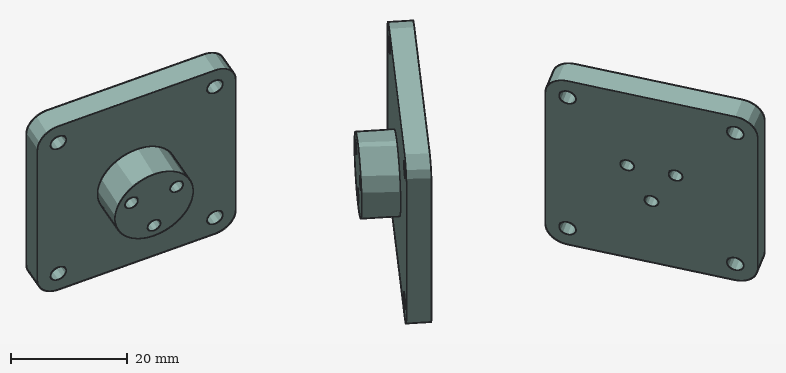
import cadquery as cq

total_depth = 11.0
plate_width = 38.0
plate_height = 40.0
plate_thickness = 4.3
corner_radius = 4.0

boss_diameter = 15.0
boss_length = total_depth - plate_thickness

corner_hole_diameter = 3.0
corner_hole_spacing_y = plate_width - 2 * corner_radius
corner_hole_spacing_z = plate_height - 2 * corner_radius

center_hole_diameter = 2.5
center_hole_count = 3
center_hole_circle_radius = 5.0
first_hole_angle = -90


def make_plate():
    """Rounded plate in the YZ plane, with its back face at X = 0."""
    return (
        cq.Workplane("YZ")
        .rect(plate_width, plate_height)
        .extrude(plate_thickness)
        .edges("|X")
        .fillet(corner_radius)
    )


def make_boss():
    """Cylinder standing on the +X face of the plate."""
    return (
        cq.Workplane("YZ")
        .workplane(offset=plate_thickness)
        .circle(boss_diameter / 2)
        .extrude(boss_length)
    )


def make_corner_holes():
    """Cutters for the four holes through the plate."""
    return (
        cq.Workplane("YZ")
        .rect(corner_hole_spacing_y, corner_hole_spacing_z, forConstruction=True)
        .vertices()
        .circle(corner_hole_diameter / 2)
        .extrude(plate_thickness)
    )


def make_center_holes():
    """Cutters for the three holes through the plate and boss."""
    return (
        cq.Workplane("YZ")
        .polarArray(center_hole_circle_radius, first_hole_angle, 360, center_hole_count)
        .circle(center_hole_diameter / 2)
        .extrude(total_depth)
    )


result = make_plate().union(make_boss()).cut(make_corner_holes()).cut(make_center_holes())